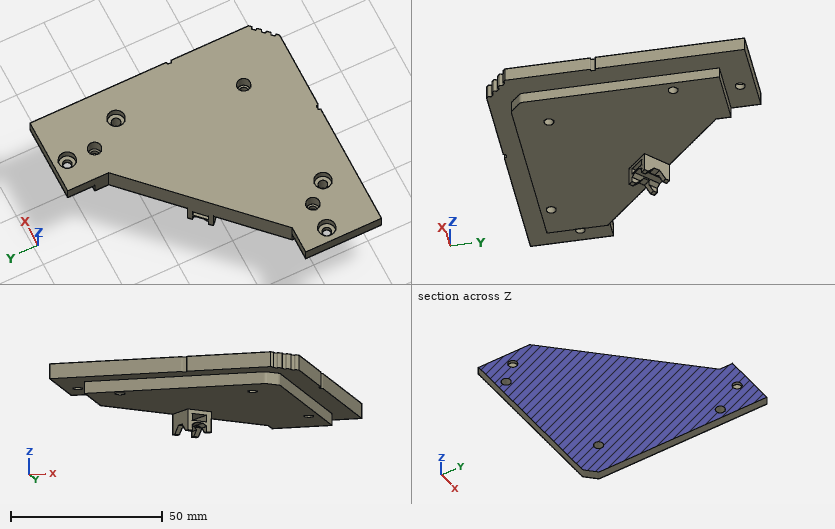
import cadquery as cq
import math

length_x = 83.3
length_y = 88.45
plate_thickness = 5.0
arm_width = 28.0
left_arm_reach = 10.0
corner_chamfer = 7.7
web_span = length_x - arm_width - left_arm_reach
web_middle = (left_arm_reach + web_span / 2, arm_width + web_span / 2)

lower_thickness = 4.0
arm_setback = 10.0
edge_setback = 7.5
lower_chamfer = 3.9
lower_corner_radius = 1.5

groove_width = 1.6
groove_depth = 0.8
groove_corner_radius = 0.3
corner_groove_count = 3
corner_groove_pitch = 3.4
corner_groove_step = corner_groove_pitch * math.sqrt(0.5)
edge_groove_from_corner = 37.2

through_diameter = 3.2
screw_head_diameter = 6.0
screw_head_depth = 3.0
pin_head_diameter = 4.7
pin_head_depth = plate_thickness
blind_depth = plate_thickness + lower_thickness / 2
screw_row = 17.8
screw_end_distance = 4.95
pin_row = 17.95
pin_end_distance = 14.95
inner_screw_row = 11.15
inner_screw_end_distance = 21.1
corner_pin_distance = 18.8
top_inner_screw_end_distance = 26.3

block_width = 9.0
block_depth = 10.0
block_height = 7.0
channel_width = 5.5
channel_wall_height = 1.9
channel_height = 2.8
channel_roof_width = 2.5
v_groove_width = 7.0
v_groove_height = 2.6
v_groove_roof_width = 2.1
tie_slot_height = 2.3
tie_slot_above_bottom = 3.4

top = plate_thickness + lower_thickness + block_height
plate_bottom = top - plate_thickness
lower_bottom = plate_bottom - lower_thickness


def upper_plate():
    outline = [
        (0, 0),
        (length_x - corner_chamfer, 0),
        (length_x, corner_chamfer),
        (length_x, length_y),
        (length_x - arm_width, length_y),
        (length_x - arm_width, arm_width + web_span),
        (left_arm_reach, arm_width),
        (0, arm_width),
    ]
    base = cq.Workplane("XY", origin=(0, 0, plate_bottom))
    return base.polyline(outline).close().extrude(plate_thickness)


def lower_plate():
    right = length_x - edge_setback
    upper_end = length_y - arm_setback
    outline = [
        (left_arm_reach, edge_setback),
        (right - lower_chamfer, edge_setback),
        (right, edge_setback + lower_chamfer),
        (right, upper_end),
        (length_x - arm_width, upper_end),
        (length_x - arm_width, arm_width + web_span),
        (left_arm_reach, arm_width),
    ]
    base = cq.Workplane("XY", origin=(0, 0, lower_bottom))
    body = base.polyline(outline).close().extrude(lower_thickness)
    margin = lower_corner_radius
    chamfer_ends = cq.selectors.BoxSelector(
        (right - lower_chamfer - margin, edge_setback - margin, lower_bottom),
        (right + margin, edge_setback + lower_chamfer + margin, plate_bottom),
    )
    return body.edges("|Z").edges(chamfer_ends).fillet(lower_corner_radius)


def cut_groove(plate, x, y, angle):
    """Cut one groove with rounded corners, centred on a point of an edge that runs at the given angle."""
    cutter = (
        cq.Workplane("XY")
        .box(groove_width, 2 * groove_depth, plate_thickness, centered=(True, True, False))
        .rotate((0, 0, 0), (0, 0, 1), angle)
        .translate((x, y, plate_bottom))
    )
    reach = corner_groove_step / 2
    groove_corners = cq.selectors.BoxSelector(
        (x - reach, y - reach, plate_bottom),
        (x + reach, y + reach, top),
    )
    return plate.cut(cutter).edges("|Z").edges(groove_corners).fillet(groove_corner_radius)


def cut_grooves(plate):
    plate = cut_groove(plate, length_x - edge_groove_from_corner, 0, 0)
    plate = cut_groove(plate, length_x, edge_groove_from_corner, 90)
    for index in range(corner_groove_count):
        offset = (index - (corner_groove_count - 1) / 2) * corner_groove_step
        x = length_x - corner_chamfer / 2 + offset
        y = corner_chamfer / 2 + offset
        plate = cut_groove(plate, x, y, 45)
    return plate


def stepped_holes(points, head_diameter, head_depth, total_depth):
    """Holes from the top face with a wider upper part."""
    face = cq.Workplane("XY", origin=(0, 0, top)).pushPoints(points)
    heads = face.circle(head_diameter / 2).extrude(-head_depth)
    shanks = face.circle(through_diameter / 2).extrude(-total_depth)
    return heads.union(shanks)


def holes():
    screws = [
        (screw_end_distance, screw_row),
        (inner_screw_end_distance, inner_screw_row),
        (length_x - screw_row, length_y - screw_end_distance),
        (length_x - inner_screw_row, length_y - top_inner_screw_end_distance),
    ]
    blind_pins = [
        (pin_end_distance, pin_row),
        (length_x - pin_row, length_y - pin_end_distance),
    ]
    corner_pin = [(length_x - corner_pin_distance, corner_pin_distance)]
    through = plate_thickness + lower_thickness
    return (
        stepped_holes(screws, screw_head_diameter, screw_head_depth, through)
        .union(stepped_holes(blind_pins, pin_head_diameter, pin_head_depth, blind_depth))
        .union(stepped_holes(corner_pin, pin_head_diameter, pin_head_depth, through))
    )


def cable_block():
    """Block built with its outer face on y = 0 and its width along x, then set against the web."""
    block = cq.Workplane("XY").box(block_width, block_depth, block_height, centered=(True, False, False))
    block = block.translate((0, -block_depth, 0))
    channel = (
        cq.Workplane("XZ")
        .polyline([
            (-channel_width / 2, 0),
            (-channel_width / 2, channel_wall_height),
            (-channel_roof_width / 2, channel_height),
            (channel_roof_width / 2, channel_height),
            (channel_width / 2, channel_wall_height),
            (channel_width / 2, 0),
        ])
        .close()
        .extrude(block_depth)
    )
    v_groove = (
        cq.Workplane("YZ", origin=(-block_width / 2, -block_depth / 2, 0))
        .polyline([
            (-v_groove_width / 2, 0),
            (-v_groove_roof_width / 2, v_groove_height),
            (v_groove_roof_width / 2, v_groove_height),
            (v_groove_width / 2, 0),
        ])
        .close()
        .extrude(block_width)
    )
    tie_slot = (
        cq.Workplane("XY")
        .box(channel_width, block_depth, tie_slot_height, centered=(True, False, False))
        .translate((0, -block_depth, tie_slot_above_bottom))
    )
    block = block.cut(channel).cut(v_groove).cut(tie_slot)
    return block.rotate((0, 0, 0), (0, 0, 1), 45).translate((*web_middle, 0))


plates = cut_grooves(upper_plate()).union(lower_plate()).cut(holes())
result = plates.union(cable_block())